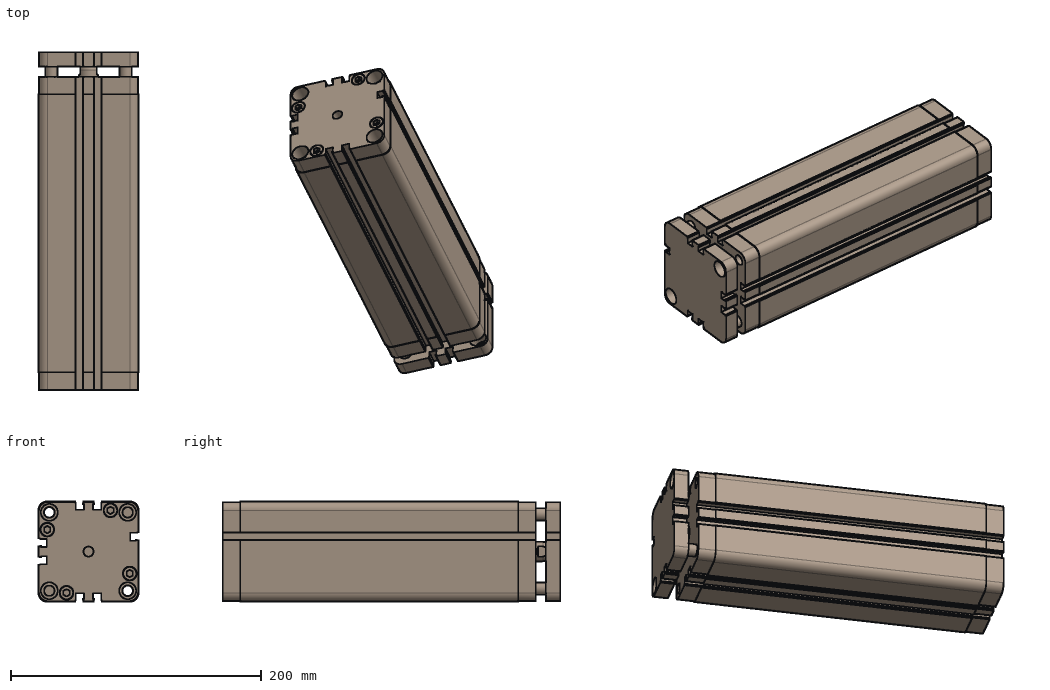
import cadquery as cq

total_length = 269.5
rear_cap_length = 14.3
barrel_length = 221.5
front_cap_length = 14.0
plate_gap = 8.0
rear_face = -total_length / 2
barrel_start = rear_face + rear_cap_length
barrel_end = barrel_start + barrel_length
front_cap_end = barrel_end + front_cap_length
plate_start = front_cap_end + plate_gap
plate_end = total_length / 2

barrel_width = 80.0
cap_width = 79.0
corner_center = 33.0

slot_floor = 33.5
slot_width = 6.2
lip_width = 0.95
lip_underside = 37.7
flare_start = 38.3
flare_end = 39.0
mouth_flare = 0.5
pair_slot_inner = 3.8
single_slot_inner = 8.5

corner_hole_offset = 31.3
corner_hole_diameter = 8.4
counterbore_diameter = 13.5
counterbore_depth = 13.5
guide_pin_offset = 29.6
guide_pin_diameter = 10.0

screw_near_offset = 17.5
screw_far_offset = 33.0
screw_pocket_diameter = 11.0
screw_head_diameter = 10.5
screw_head_height = 6.0
socket_diameter = 6.0
socket_depth = 3.2
port_diameter = 8.0
port_depth = 10.8

rod_diameter = 16.0
rod_tip_diameter = 14.8
rod_tip_length = 2.7
flat_spacing = 13.5
flat_length = 6.0


def section_at(y):
    """Workplane across the cylinder at y, with local x = X, local y = Z; negative extrusions go towards +Y."""
    return cq.Workplane(cq.Plane(origin=(0, y, 0), xDir=(1, 0, 0), normal=(0, -1, 0)))


def rounded_block(width, start, end):
    radius = width / 2 - corner_center
    block = section_at(start).rect(width, width).extrude(start - end)
    return block.edges("|Y").fillet(radius)


def round_bar(points, diameter, start, end):
    return section_at(start).pushPoints(points).circle(diameter / 2).extrude(start - end)


def slot_cutter(inner, side, face_angle):
    """Full-length slot in the +Z face at local x = side * inner, turned about Y onto another face."""
    outer = inner + slot_width
    mouth = inner + lip_width
    outside = barrel_width / 2 + 2.7
    profile = [
        (side * inner, slot_floor),
        (side * outer, slot_floor),
        (side * outer, flare_start),
        (side * (outer + mouth_flare), flare_end),
        (side * (outer + mouth_flare), outside),
        (side * (mouth - mouth_flare), outside),
        (side * (mouth - mouth_flare), flare_end),
        (side * mouth, flare_start),
        (side * mouth, lip_underside),
        (side * inner, lip_underside),
    ]
    cutter = section_at(rear_face).polyline(profile).close().extrude(-total_length)
    return cutter.rotate((0, 0, 0), (0, 1, 0), face_angle)


def piston_rod():
    tip_start = plate_start - rod_tip_length
    rod = round_bar([(0, 0)], rod_diameter, front_cap_end, tip_start)
    tip = (
        section_at(tip_start).circle(rod_diameter / 2)
        .workplane(offset=-rod_tip_length).circle(rod_tip_diameter / 2)
        .loft()
    )
    rod = rod.union(tip)
    flat_depth = (rod_diameter - flat_spacing) / 2
    flat_end = plate_start - flat_length
    for side in (-1, 1):
        flat = [
            (side * flat_spacing / 2, plate_start),
            (side * flat_spacing / 2, flat_end),
            (side * rod_diameter / 2, flat_end - flat_depth),
            (side * rod_diameter / 2, plate_start),
        ]
        cutter = cq.Workplane("XY").polyline(flat).close().extrude(rod_diameter / 2, both=True)
        rod = rod.cut(cutter)
    return rod


def rear_screws(points):
    pocket_floor = rear_face + screw_head_height
    heads = round_bar(points, screw_head_diameter, rear_face, pocket_floor)
    for x, z in points:
        socket = section_at(rear_face).polygon(6, socket_diameter).extrude(-socket_depth)
        heads = heads.cut(socket.rotate((0, 0, 0), (0, 1, 0), 90).translate((x, 0, z)))
    return heads


body = (
    rounded_block(cap_width, rear_face, barrel_start)
    .union(rounded_block(barrel_width, barrel_start, barrel_end))
    .union(rounded_block(cap_width, barrel_end, front_cap_end))
    .union(rounded_block(cap_width, plate_start, plate_end))
)

for face_angle in (0, 180, -90):
    for side in (-1, 1):
        body = body.cut(slot_cutter(pair_slot_inner, side, face_angle))
body = body.cut(slot_cutter(single_slot_inner, -1, 90))

through_corners = [(-corner_hole_offset, corner_hole_offset), (corner_hole_offset, -corner_hole_offset)]
pin_corners = [(-corner_hole_offset, -corner_hole_offset), (corner_hole_offset, corner_hole_offset)]
all_corners = through_corners + pin_corners
counterbore_end = rear_face + counterbore_depth
body = body.cut(round_bar(all_corners, counterbore_diameter, rear_face, counterbore_end))
body = body.cut(round_bar(through_corners, corner_hole_diameter, rear_face, plate_start))
body = body.cut(round_bar(through_corners, counterbore_diameter, plate_start, plate_end))
body = body.cut(round_bar(pin_corners, corner_hole_diameter, rear_face, barrel_end))

guide_pins = [(-guide_pin_offset, -guide_pin_offset), (guide_pin_offset, guide_pin_offset)]
body = body.union(round_bar(guide_pins, guide_pin_diameter, front_cap_end, plate_start))
body = body.union(piston_rod())

screw_points = [
    (screw_near_offset, screw_far_offset),
    (screw_far_offset, -screw_near_offset),
    (-screw_near_offset, -screw_far_offset),
    (-screw_far_offset, screw_near_offset),
]
body = body.cut(round_bar(screw_points, screw_pocket_diameter, rear_face, rear_face + screw_head_height))
body = body.union(rear_screws(screw_points))
result = body.cut(round_bar([(0, 0)], port_diameter, rear_face, rear_face + port_depth))